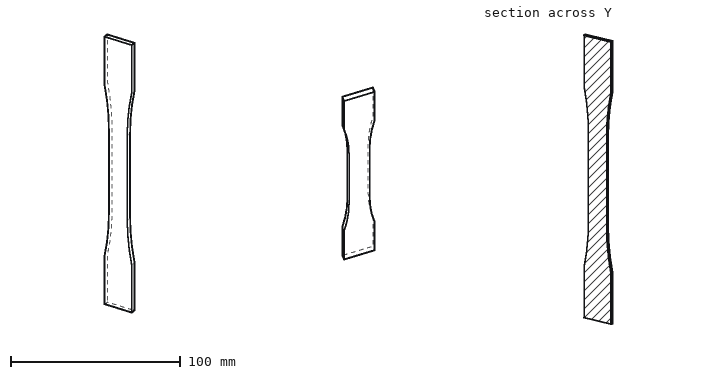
import cadquery as cq

length = 180.0
grip_width = 19.0
gauge_width = 13.0
thickness = 3.2
gauge_length = 57.0
grip_length = 32.4

half_length = length / 2
half_grip = grip_width / 2
half_gauge = gauge_width / 2
gauge_end = gauge_length / 2
grip_start = half_length - grip_length

half_profile = (
    cq.Workplane("XZ")
    .moveTo(0, -half_length)
    .lineTo(half_grip, -half_length)
    .lineTo(half_grip, -grip_start)
)
shoulder_length = grip_start - gauge_end
shoulder_rise = half_grip - half_gauge
shoulder_radius = (shoulder_length**2 + shoulder_rise**2) / (2 * shoulder_rise)
mid_height = shoulder_length / 2
mid_rise = shoulder_radius - (shoulder_radius**2 - mid_height**2) ** 0.5
mid_x = half_gauge + mid_rise
mid_z = gauge_end + mid_height

half_profile = (
    half_profile
    .threePointArc((mid_x, -mid_z), (half_gauge, -gauge_end))
    .lineTo(half_gauge, gauge_end)
    .threePointArc((mid_x, mid_z), (half_grip, grip_start))
    .lineTo(half_grip, half_length)
    .lineTo(0, half_length)
    .close()
)

half_body = half_profile.extrude(thickness / 2, both=True)
result = half_body.union(half_body.mirror("YZ")).clean()